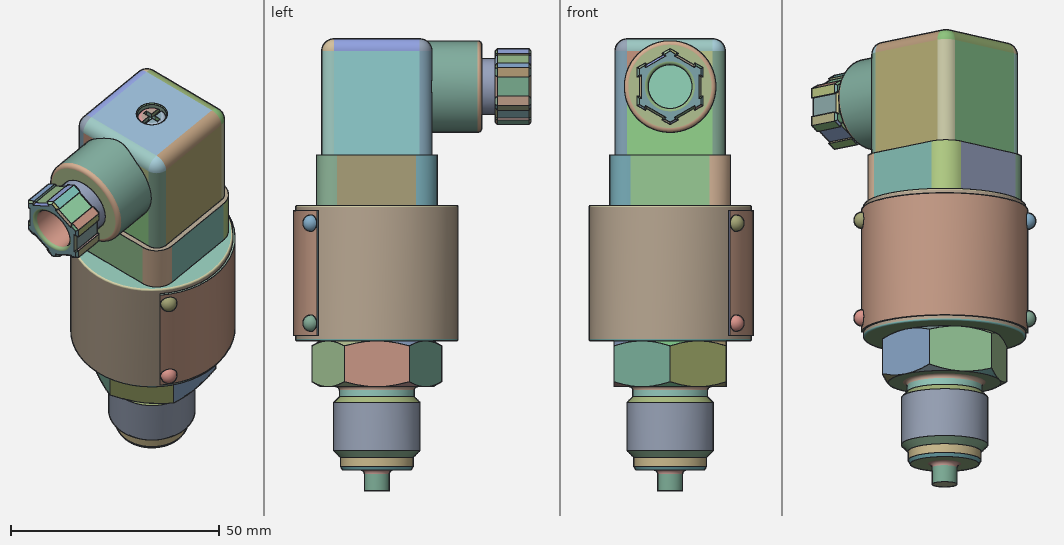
import cadquery as cq
import math


pin_radius = 6 / 2
pin_flare = 1.0
spigot_radius = 17.5 / 2
spigot_bottom = 5.0
spigot_chamfer_rise = 0.9
spigot_chamfer_inset = 0.5
thread_radius = 20.8 / 2
thread_bottom = 9.7
thread_top = 21.2
neck_radius = 18 / 2
neck_fillet = 0.9

hex_bottom = 25.0
hex_across_flats = 27.0
hex_chamfer_angle = 30

case_radius = 39 / 2
case_bottom = 36.0
case_top = 68.5
case_edge_fillet = 0.4
case_middle = (case_bottom + case_top) / 2

plate_thickness = 0.5
plate_radius = case_radius + plate_thickness
plate_height = 30.0
plate_centre_angle = 45
plate_sweep = 178
rivet_radius = 2.0
rivet_spacing_z = 24.0
rivet_angle_from_centre = 83

socket_width = 29.0
socket_corner = 5.0
socket_top = 80.6

box_width = 26.5
box_fillet = 3.0
box_top = 108.5

gland_axis_z = 97.0
gland_radius = 22 / 2
gland_reach = 25.2
gland_edge_fillet = 1.0
gland_neck_radius = 13.5 / 2
nut_start = 28.4
nut_end = 37.0
nut_across_flats = 15.8
nut_edge_chamfer = 0.5
nut_groove_width = 4.6
nut_groove_depth = 0.5
cable_hole_radius = 10.5 / 2
cable_hole_fillet = 0.75

head_radius = 7 / 2
head_height = 2.5
head_sink = 0.75
head_fillet = 1.1
slot_width = 1.0
slot_depth = 1.2
short_slot_length = 4.3
recess_chamfer = 0.25
recess_floor = box_top - head_sink - head_height


def hex_corner_diameter(across_flats):
    return across_flats / math.cos(math.radians(30))


def make_process_connection():
    """Turned pin, spigot, thread and undercut neck."""
    spigot_top = thread_bottom - (thread_radius - spigot_radius)
    thread_end = thread_top + (thread_radius - neck_radius)
    overlap_z = hex_bottom + 1.0
    return (
        cq.Workplane("XZ")
        .moveTo(0, 0)
        .lineTo(pin_radius, 0)
        .lineTo(pin_radius, spigot_bottom - pin_flare)
        .radiusArc((pin_radius + pin_flare, spigot_bottom), pin_flare)
        .lineTo(spigot_radius - spigot_chamfer_inset, spigot_bottom)
        .lineTo(spigot_radius, spigot_bottom + spigot_chamfer_rise)
        .lineTo(spigot_radius, spigot_top)
        .lineTo(thread_radius, thread_bottom)
        .lineTo(thread_radius, thread_top)
        .lineTo(neck_radius, thread_end)
        .lineTo(neck_radius, hex_bottom - neck_fillet)
        .radiusArc((neck_radius + neck_fillet, hex_bottom), neck_fillet)
        .lineTo(neck_radius + neck_fillet, overlap_z)
        .lineTo(0, overlap_z)
        .close()
        .revolve(360, (0, 0, 0), (0, 1, 0))
    )


def make_hexagon():
    """Hexagon with corners on the Y axis, its corners turned off by a cone at both ends."""
    height = case_bottom - hex_bottom
    corner_diameter = hex_corner_diameter(hex_across_flats)
    flat_radius = hex_across_flats / 2
    corner_radius = corner_diameter / 2
    drop = (corner_radius - flat_radius) * math.tan(math.radians(hex_chamfer_angle))
    prism = (
        cq.Workplane("XY", origin=(0, 0, hex_bottom))
        .transformed(rotate=(0, 0, 90))
        .polygon(6, corner_diameter)
        .extrude(height)
    )
    turned_envelope = (
        cq.Workplane("XZ", origin=(0, 0, hex_bottom))
        .polyline([
            (0, 0),
            (flat_radius, 0),
            (corner_radius, drop),
            (corner_radius, height - drop),
            (flat_radius, height),
            (0, height),
        ])
        .close()
        .revolve(360, (0, 0, 0), (0, 1, 0))
    )
    return prism.intersect(turned_envelope)


def make_name_plate():
    """Thin strip of a ring lying on the case."""
    middle_radius = (case_radius + plate_radius) / 2
    start_angle = plate_centre_angle - plate_sweep / 2
    plate = (
        cq.Workplane("XZ")
        .center(middle_radius, case_middle)
        .rect(plate_thickness, plate_height)
        .revolve(plate_sweep, (-middle_radius, 0, 0), (-middle_radius, 1, 0))
    )
    return plate.rotate((0, 0, 0), (0, 0, 1), start_angle)


def make_rivets():
    """Round heads centred on the plate surface, two near each end of the plate."""
    rivets = cq.Workplane("XY")
    for side in (-1, 1):
        angle = math.radians(plate_centre_angle + side * rivet_angle_from_centre)
        for level in (-1, 1):
            centre = (
                plate_radius * math.cos(angle),
                plate_radius * math.sin(angle),
                case_middle + level * rivet_spacing_z / 2,
            )
            rivets = rivets.add(cq.Workplane("XY").sphere(rivet_radius).translate(centre))
    return rivets


def make_sensor():
    case = (
        cq.Workplane("XY", origin=(0, 0, case_bottom))
        .circle(case_radius)
        .extrude(case_top - case_bottom)
        .edges()
        .fillet(case_edge_fillet)
    )
    socket = (
        cq.Workplane("XY", origin=(0, 0, case_top))
        .rect(socket_width, socket_width)
        .extrude(socket_top - case_top)
        .edges("|Z")
        .fillet(socket_corner)
    )
    sensor = case.union(socket).union(make_hexagon()).union(make_process_connection())
    sensor = sensor.union(make_name_plate())
    for rivet in make_rivets().vals():
        sensor = sensor.union(cq.Workplane(rivet))
    return sensor


def gland_plane(distance):
    """Plane across the gland axis, at a distance from the main axis, facing -Y."""
    return cq.Workplane("XZ", origin=(0, -distance, gland_axis_z))


def make_nut():
    """Hexagonal gland nut with corners up and down and a shallow groove along each flat."""
    length = nut_end - nut_start
    nut = (
        gland_plane(nut_start)
        .transformed(rotate=(0, 0, 90))
        .polygon(6, hex_corner_diameter(nut_across_flats))
        .extrude(length)
    )
    grooves = (
        gland_plane(nut_start)
        .polarArray(nut_across_flats / 2, 0, 360, 6)
        .rect(2 * nut_groove_depth, nut_groove_width)
        .extrude(length)
    )
    nut = nut.cut(grooves)
    return nut.faces("<Y or >Y").chamfer(nut_edge_chamfer)


def make_plug():
    box = (
        cq.Workplane("XY", origin=(0, 0, socket_top))
        .rect(box_width, box_width)
        .extrude(box_top - socket_top)
        .edges("|Z or >Z")
        .fillet(box_fillet)
    )
    gland = gland_plane(0).circle(gland_radius).extrude(gland_reach)
    gland = gland.faces("<Y").edges().fillet(gland_edge_fillet)
    gland_neck = gland_plane(gland_reach).circle(gland_neck_radius).extrude(nut_start - gland_reach)
    cable_hole = gland_plane(gland_reach).circle(cable_hole_radius).extrude(nut_end - gland_reach)
    screw_recess = (
        cq.Workplane("XY", origin=(0, 0, recess_floor))
        .circle(head_radius)
        .extrude(box_top - recess_floor)
    )
    plug = box.union(gland).union(gland_neck).union(make_nut())
    plug = plug.cut(cable_hole)
    plug = plug.faces("<Y").edges("%CIRCLE").fillet(cable_hole_fillet)
    plug = plug.cut(screw_recess)
    return plug.faces(">Z").edges("%CIRCLE").chamfer(recess_chamfer)


def make_screw():
    """Screw head with a rounded edge, a full-width slot and a shorter slot across it."""
    head = (
        cq.Workplane("XY", origin=(0, 0, recess_floor))
        .circle(head_radius)
        .extrude(head_height)
        .faces(">Z")
        .edges()
        .fillet(head_fillet)
    )
    slot_plane = cq.Workplane("XY", origin=(0, 0, recess_floor + head_height))
    long_slot = slot_plane.rect(slot_width, 2 * head_radius).extrude(-slot_depth)
    short_slot = slot_plane.rect(short_slot_length, slot_width).extrude(-slot_depth)
    return head.cut(long_slot).cut(short_slot)


sensor = make_sensor()
plug = make_plug()
screw = make_screw()

result = cq.Compound.makeCompound([sensor.solids().val(), plug.solids().val(), screw.solids().val()])